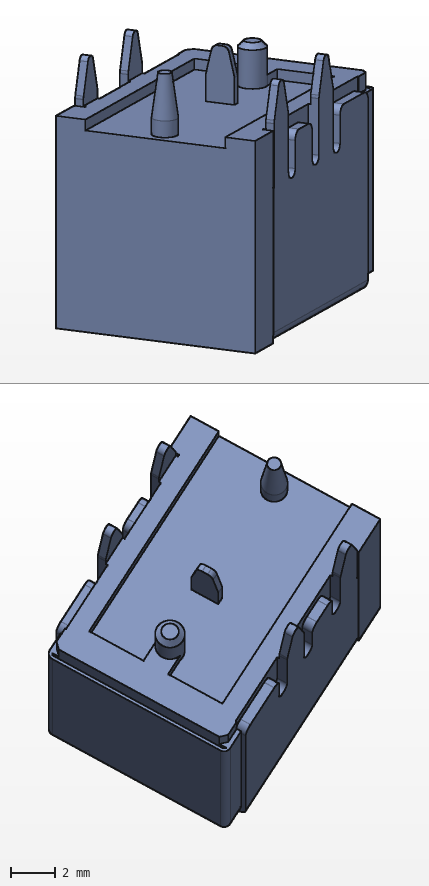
import cadquery as cq
import math

body_width = 10.0
body_height = 10.0
total_depth = 13.25
half_width = body_width / 2
front_block_depth = 1.92

core_end = 13.0
core_inset = 0.53
rear_core_inset = 0.48
rear_corner_chamfer = 0.29
rear_half_width = half_width - rear_core_inset

flap_start = 12.0
flap_top = 0.52
flap_chamfer = 0.49

plate_start = 1.97
plate_end = 11.95
plate_top = 9.41
plate_bottom_radius = 0.52
panel_corner_radius = 0.42

tab_thickness = 0.42
tab_width = 1.51
tab_centers = (2.78, 7.51)
tab_shoulder = 10.4
tab_shoulder_radius = 0.53
tab_top = 12.19
tab_tip_radius = 0.29
slot_width = 0.72
slot_bottom = 7.3
slot_radius = slot_width / 2
slot_center_z = slot_bottom + slot_radius

wrap_half_width = 4.76
wrap_bottom = 0.64
wrap_top = 9.2
wrap_thickness = 0.16
wrap_corner_radius = 0.32

recess_width = 7.02
recess_end = 11.51
recess_depth = 0.52
recess_floor = body_height - recess_depth
tongue_width = 1.3

peg_y = 10.25
peg_radius = 0.68
peg_top = 11.6
peg_chamfer = 0.28
pin_y = 1.01
pin_radius = 0.61
pin_tip_radius = 0.32
pin_taper_start = 10.28
pin_top = 12.4
blade_start = 6.84
blade_thickness = 0.35
blade_half_width = 0.72
blade_tip_half_width = 0.38
blade_shoulder = 10.8
blade_corner_radius = 0.3


def block(x_min, x_max, y_min, y_max, z_min, z_max):
    """Axis-aligned box given by its limits."""
    size = (x_max - x_min, y_max - y_min, z_max - z_min)
    return cq.Workplane("XY").box(*size, centered=False).translate((x_min, y_min, z_min))


def centered_block(half, y_min, y_max, z_min, z_max):
    """Box symmetric about the YZ plane."""
    return block(-half, half, y_min, y_max, z_min, z_max)


def make_core():
    front = centered_block(half_width, 0, front_block_depth, 0, body_height)
    middle = centered_block(half_width - core_inset, front_block_depth, plate_end, 0, body_height)
    rear = centered_block(rear_half_width, plate_end, core_end, flap_top, body_height)
    rear = rear.edges("|Z and >Y").chamfer(rear_corner_chamfer)
    inside_wrap = centered_block(
        wrap_half_width - wrap_thickness, plate_end, core_end, wrap_bottom, wrap_top
    )
    flap_half_width = rear_half_width - rear_corner_chamfer
    flap = centered_block(flap_half_width, flap_start, core_end, 0, flap_top)
    flap = flap.edges("|X and >Y and <Z").chamfer(flap_chamfer)
    return front.union(middle).union(rear).union(inside_wrap).union(flap)


def cut_recess(body):
    recess = centered_block(recess_width / 2, 0, recess_end, recess_floor, body_height)
    tongue = centered_block(tongue_width / 2, peg_y, recess_end, recess_floor, body_height)
    return body.cut(recess.cut(tongue))


def make_tab(center_y):
    """Tapered tab with a round tip tangent to both slanted edges, plus the core rib behind it."""
    half = tab_width / 2
    tip_center_z = tab_top - tab_tip_radius
    rise = tip_center_z - tab_shoulder
    taper = math.atan2(half, rise) - math.asin(tab_tip_radius / math.hypot(half, rise))
    tangent_y = tab_tip_radius * math.cos(taper)
    tangent_z = tip_center_z + tab_tip_radius * math.sin(taper)
    tab = (
        cq.Workplane("YZ", origin=(-half_width, center_y, 0))
        .moveTo(-half, slot_center_z)
        .lineTo(-half, tab_shoulder)
        .lineTo(-tangent_y, tangent_z)
        .threePointArc((0, tab_top), (tangent_y, tangent_z))
        .lineTo(half, tab_shoulder)
        .lineTo(half, slot_center_z)
        .close()
        .extrude(tab_thickness)
    )
    shoulders = tab.edges("|X").edges("<Y or >Y").edges(">Z")
    tab = shoulders.fillet(tab_shoulder_radius)
    rib = block(
        tab_thickness - half_width, core_inset - half_width,
        center_y - half, center_y + half, slot_center_z, body_height,
    )
    return tab.union(rib)


def make_panel(y_min, y_max):
    """Upper stretch of a side plate with both top corners rounded."""
    panel = block(-half_width, core_inset - half_width, y_min, y_max, slot_center_z, plate_top)
    return panel.edges("|X and >Z").fillet(panel_corner_radius)


def make_side_plate():
    """Complete side plate on the -X flank."""
    plate = block(-half_width, core_inset - half_width, plate_start, plate_end, 0, slot_center_z)
    plate = plate.edges("|Y and <X and <Z").fillet(plate_bottom_radius)

    front_tab_y, rear_tab_y = tab_centers
    slot_offset = tab_width / 2 + slot_radius
    slot_centers = (front_tab_y + slot_offset, rear_tab_y - slot_offset, rear_tab_y + slot_offset)
    for slot_y in slot_centers:
        slot_end = (
            cq.Workplane("YZ", origin=(-half_width, slot_y, slot_center_z))
            .circle(slot_radius)
            .extrude(core_inset)
        )
        plate = plate.cut(slot_end)

    front_tab_edge = front_tab_y - tab_width / 2
    gap = block(
        -half_width, core_inset - half_width,
        plate_start, front_tab_edge, slot_bottom, slot_center_z,
    )
    plate = plate.cut(gap)

    plate = plate.union(make_panel(slot_centers[0] + slot_radius, slot_centers[1] - slot_radius))
    plate = plate.union(make_panel(slot_centers[2] + slot_radius, plate_end))
    for center_y in tab_centers:
        plate = plate.union(make_tab(center_y))
    return plate


def make_rear_wrap():
    """U-shaped sheet around the rear end, leaving a narrow gap behind the core."""
    wrap = centered_block(wrap_half_width, plate_end, total_depth, wrap_bottom, wrap_top)
    wrap = wrap.edges("|Z and >Y").fillet(wrap_corner_radius)
    inside = centered_block(
        wrap_half_width - wrap_thickness, plate_end,
        total_depth - wrap_thickness, wrap_bottom, wrap_top,
    )
    inside = inside.edges("|Z and >Y").fillet(wrap_corner_radius - wrap_thickness)
    return wrap.cut(inside)


def make_peg():
    peg = (
        cq.Workplane("XY", origin=(0, peg_y, recess_floor))
        .circle(peg_radius)
        .extrude(peg_top - recess_floor)
    )
    return peg.faces(">Z").chamfer(peg_chamfer)


def make_pin():
    """Short cylinder continued by a cone."""
    profile = [
        (0, recess_floor),
        (pin_radius, recess_floor),
        (pin_radius, pin_taper_start),
        (pin_tip_radius, pin_top),
        (0, pin_top),
    ]
    pin = cq.Workplane("XZ").polyline(profile).close().revolve(360, (0, 0), (0, 1))
    return pin.translate((0, pin_y, 0))


def make_blade():
    outline = [
        (-blade_half_width, recess_floor),
        (-blade_half_width, blade_shoulder),
        (-blade_tip_half_width, tab_top),
        (blade_tip_half_width, tab_top),
        (blade_half_width, blade_shoulder),
        (blade_half_width, recess_floor),
    ]
    blade = (
        cq.Workplane("XZ", origin=(0, blade_start, 0))
        .polyline(outline)
        .close()
        .extrude(-blade_thickness)
    )
    return blade.faces(">Z").edges("|Y").fillet(blade_corner_radius)


side_plate = make_side_plate()
result = cut_recess(make_core())
result = result.union(side_plate).union(side_plate.mirror("YZ")).union(make_rear_wrap())
result = result.union(make_peg()).union(make_pin()).union(make_blade())